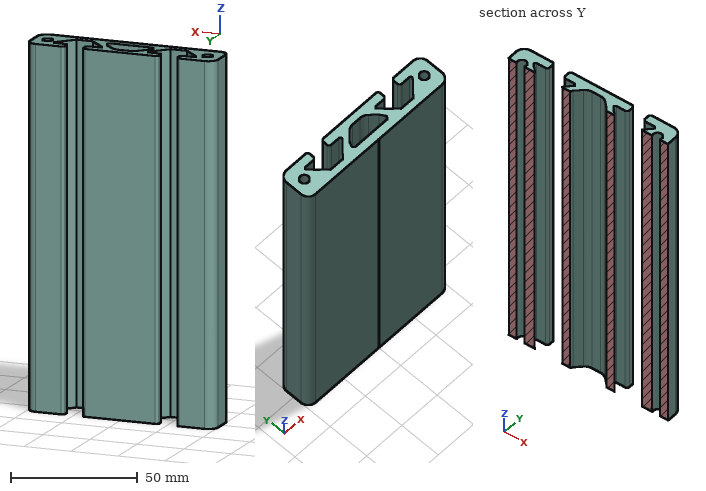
import cadquery as cq

width = 80.0
depth = 16.0
length = 150.0
corner_radius = 4.0

slot_spacing = width / 2
slot_opening = 7.8
slot_depth = 12.3
lip_thickness = 4.4
slot_inner_width = 22.5
slot_floor_width = 6.9
lip_radius = 1.2
slot_inner_radius = 0.8

chamber_floor = 4.2
chamber_roof = 12.3
chamber_floor_width = 21.6
chamber_shoulder_width = 16.8
chamber_shoulder_height = 8.1
chamber_roof_width = 8.1
chamber_foot_radius = 1.2
chamber_roof_radius = 4.8

hole_diameter = 4.2
hole_spacing = 68.0
groove_width = 0.6
groove_depth = 0.3

back = -depth / 2
front = depth / 2


def prism(points):
    """Extrude a closed outline in XY over the full length."""
    return cq.Workplane("XY").polyline(points).close().extrude(length)


def slot_cutter():
    """T-slot centred on X = 0, with rounded undercut corners."""
    lip = front - lip_thickness
    floor = front - slot_depth
    inner = slot_inner_width / 2
    bottom = slot_floor_width / 2
    undercut = prism([(-inner, lip), (-bottom, floor), (bottom, floor), (inner, lip)])
    undercut = undercut.edges("|Z").edges(">Y").fillet(slot_inner_radius)
    mouth = cq.Workplane("XY").rect(slot_opening, lip_thickness).extrude(length)
    mouth = mouth.translate((0, front - lip_thickness / 2, 0))
    return undercut.union(mouth)


def round_lips(solid):
    """Round the outer and inner edges of the four slot lips."""
    reach = lip_radius / 2
    for side in (-1, 1):
        for lip_side in (-1, 1):
            x = (side * slot_spacing + lip_side * slot_opening) / 2
            box = cq.selectors.BoxSelector(
                (x - reach, front - lip_thickness - reach, 0),
                (x + reach, front + reach, length),
            )
            solid = solid.edges("|Z").edges(box).fillet(lip_radius)
    return solid


def chamber_cutter():
    """Hollow chamber with a flat floor, sloped sides and a rounded roof."""
    floor = back + chamber_floor
    shoulder = back + chamber_shoulder_height
    roof = back + chamber_roof
    right_side = [
        (chamber_floor_width / 2, floor),
        (chamber_shoulder_width / 2, shoulder),
        (chamber_roof_width / 2, roof),
    ]
    left_side = [(-x, y) for x, y in reversed(right_side)]
    chamber = prism(right_side + left_side)
    chamber = chamber.edges("|Z").edges("<Y").fillet(chamber_foot_radius)
    return chamber.edges("|Z").edges(">Y").fillet(chamber_roof_radius)


body = cq.Workplane("XY").rect(width, depth).extrude(length)
body = body.edges("|Z").fillet(corner_radius)

slot = slot_cutter()
for side in (-1, 1):
    body = body.cut(slot.translate((side * slot_spacing / 2, 0, 0)))
body = round_lips(body)

body = body.cut(chamber_cutter())

hole_centres = [(-hole_spacing / 2, 0), (hole_spacing / 2, 0)]
holes = cq.Workplane("XY").pushPoints(hole_centres).circle(hole_diameter / 2).extrude(length)
body = body.cut(holes)

groove = prism([(-groove_width / 2, back), (groove_width / 2, back), (0, back + groove_depth)])
result = body.cut(groove)